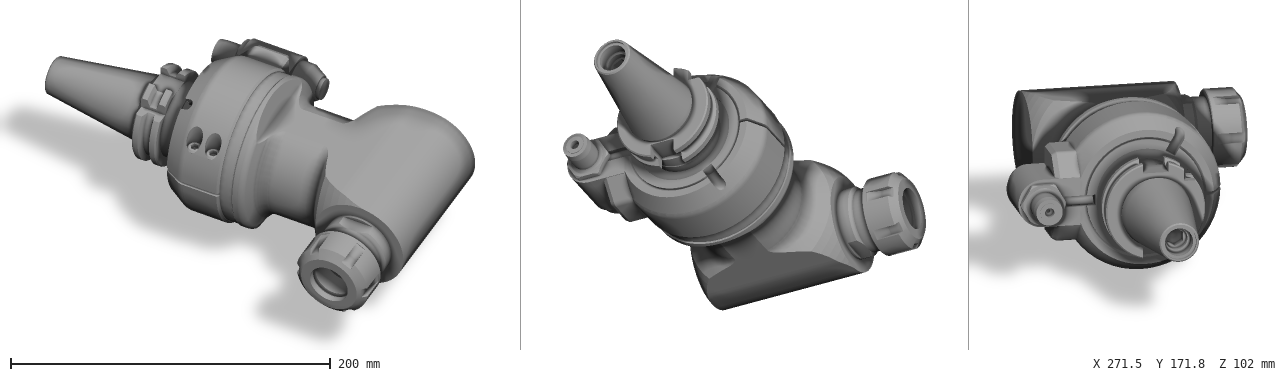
import cadquery as cq
import math


TAPER_LENGTH = 68.0
TAPER_END_RADIUS = 12.5
TAPER_RATIO = 7 / 48
TAPER_END_CHAMFER = 0.8
RELIEF_RADIUS = 21.7
FLANGE_FRONT = 71.0
FLANGE_BACK = 88.0
FLANGE_RADIUS = 31.8
FLANGE_CHAMFER = 0.8
GROOVE_RADIUS = 27.7
GROOVE_FLOOR_WIDTH = 4.3
GROOVE_FLANK = 2.0
NECK_RADIUS = 25.0
NECK_END = 96.0
JOURNAL_RADIUS = 23.5
JOURNAL_END = 111.3
DRIVE_SLOT_WIDTH = 16.3
UPPER_SLOT_FLOOR = 25.0
LOWER_SLOT_FLOOR = 22.3
NOTCH_SIDE = 18.2
NOTCH_FLOOR = 18.5
DRAWBAR_BORE_RADIUS = 9.0
DRAWBAR_BORE_DEPTH = 9.5
BORE_MOUTH_RADIUS = 10.9
BORE_MOUTH_DEPTH = 1.5
BORE_STEP_RADIUS = 7.0
BORE_STEP_DEPTH = 13.5
SOCKET_FLATS = 10.3
SOCKET_DEPTH = 5.5

RING_FRONT = 102.3
RING_BACK = 142.2
RING_RADIUS = 51.0
RING_BORE_RADIUS = 37.5
RING_BORE_CHAMFER = 1.5
RING_BACK_CHAMFER = 1.4
RING_CONE_ANGLE = 30.0
RING_CONE_END = 113.0
RING_CONE_BLEND = 8.7
SLIT_WIDTH = 2.2
RADIAL_SLOT_WIDTH = 7.0
RADIAL_SLOT_DEPTH = 7.5
RADIAL_SLOT_START = 31.8
RADIAL_SLOT_COUNT = 3

ARM_FRONT = 102.0
ARM_BACK = 137.5
ARM_HALF_HEIGHT = 15.5
PIN_Y = 65.7
ARM_ROOT_Y = 41.5
SHOULDER_Y = 57.3
SHOULDER_HALF_HEIGHT = 29.0
SHOULDER_SLOPE = 49.0
SHOULDER_SLOPE_END = 113.0
SHOULDER_BLEND = 4.5
SHOULDER_BEVEL_DEPTH = 3.0
SHOULDER_BEVEL_INSET = 2.0
SHOULDER_BACK_CHAMFER = 1.5

SCREW_X_POSITIONS = (120.2, 133.3)
SCREW_Y = -40.5
SCREW_HEAD_DIAMETER = 10.0
SCREW_HEAD_HEIGHT = 6.0
SCREW_HEAD_CHAMFER = 1.0
SCREW_SEAT_Z = 18.2
SCREW_DIAMETER = 6.0
SCREW_BOTTOM_Z = -19.0
SCREW_SOCKET_FLATS = 5.0
SCREW_SOCKET_DEPTH = 3.0
COUNTERBORE_DIAMETER = 10.3
CLEARANCE_DIAMETER = 6.5

STEM_START = 81.5
STEM_RADIUS = 9.0
STEM_LEAD_RADIUS = 8.5
STEM_LEAD_END = 86.0
STEM_TIP_RADIUS = 6.0
STEM_TIP_START = 81.0
STEM_HOLE_RADIUS = 3.0
STEM_HOLE_DEPTH = 4.0
STEM_BOTTOM_HOLE_RADIUS = 1.25
STEM_BOTTOM_HOLE_DEPTH = 6.8
COLLAR_START = 97.0
COLLAR_RADIUS = 11.0
HEX_START = 98.0
HEX_FLATS = 25.5
HEX_CHAMFER = 1.0
HEX_ROUND_RADIUS = 14.5
CAP_RADIUS = 13.0
CAP_STRAIGHT_END = 145.7
CAP_CONE_END = 154.2
CAP_CONE_END_RADIUS = 8.5
CAP_TIP_RADIUS = 7.0
CAP_END = 156.5
FINGER_INNER_Y = 33.5

NOSE_START = 97.5
HEAD_RADIUS = 49.0
NOSE_RECESS_RADIUS = 31.5
NOSE_RECESS_DEPTH = 1.0
LIP_GROOVE_START = 150.4
LIP_START = 151.5
LIP_GROOVE_RADIUS = 48.5
LIP_RADIUS = 50.0
LIP_ROUND_START = 154.7
LIP_ROUND = 5.0
WAIST_RADIUS = 35.8
WAIST_START = 169.4
WAIST_END = 196.5
FLARE_ANGLE = 62.0
WAIST_BLEND = 8.1
HOUSING_HALF_WIDTH = 49.0
HOUSING_RADIUS = 31.0
HOUSING_FLAT_Z = 34.0
HOUSING_SLOPE = 11.0
HOUSING_SLOPE_BLEND = 32.5
LIP_CUT_ANGLE = 71.0
LIP_CUT_X = 159.5
LIP_CUT_BLEND = 3.8
FACET_COUNT = 6
TOTAL_LENGTH = 271.5
SPINDLE_X = TOTAL_LENGTH - HOUSING_RADIUS

SPINDLE_SEAT_DEPTH = 5.5
SPINDLE_COLLAR_RADIUS = 22.5
SPINDLE_COLLAR_END = -57.0
SPINDLE_BODY_START = -59.2
SPINDLE_BODY_RADIUS = 20.4
SPINDLE_END = -84.0
SPINDLE_FLAT_Z = 20.0
SPINDLE_FLAT_START = -50.8
COLLET_BORE_RADIUS = 12.5
COLLET_BORE_END = -70.5
NUT_START = -67.8
NUT_END = -90.6
NUT_RADIUS = 25.0
NUT_START_CHAMFER = 0.5
NUT_END_RADIUS = 19.5
NUT_CHAMFER_START = -86.0
NUT_BORE_RADIUS = 13.3
NUT_GROOVE_RADIUS = 15.0
NUT_GROOVE_END = -86.3
NUT_SLOT_COUNT = 6
NUT_SLOT_WIDTH = 7.0
NUT_SLOT_FLOOR = 22.0
NUT_SLOT_START = -70.8
NUT_SLOT_RAMP_END = -80.0
NUT_SLOT_RAMP_RADIUS = 24.5


def sine(angle):
    return math.sin(math.radians(angle))


def cosine(angle):
    return math.cos(math.radians(angle))


def tangent(angle):
    return math.tan(math.radians(angle))


def turn_about_x(profile):
    return profile.close().revolve(360, (0, 0, 0), (1, 0, 0))


def turn_about_spindle(points):
    """Solid of revolution about the spindle axis from (radius, Y) points."""
    placed = [(SPINDLE_X + radius, y) for radius, y in points]
    return cq.Workplane("XY").polyline(placed).close().revolve(360, (SPINDLE_X, 0, 0), (SPINDLE_X, 1, 0))


def x_cylinder(radius, start, end, y=0.0):
    return cq.Workplane("YZ", origin=(start, y, 0)).circle(radius).extrude(end - start)


def z_cylinder(diameter, x, y, bottom, top):
    return cq.Workplane("XY", origin=(x, y, bottom)).circle(diameter / 2).extrude(top - bottom)


def block(x_range, y_range, z_range):
    sizes = [high - low for low, high in (x_range, y_range, z_range)]
    corner = (x_range[0], y_range[0], z_range[0])
    return cq.Workplane("XY", origin=corner).box(*sizes, centered=False)


def hexagon_along_x(flats, start, end, y=0.0):
    """Hexagonal bar along X with its corners pointing up and down."""
    corners = flats / cosine(30)
    plane = cq.Workplane("YZ", origin=(start, y, 0)).transformed(rotate=(0, 0, 90))
    return plane.polygon(6, corners).extrude(end - start)


def radial_slot(angle):
    """Round-bottomed slot in the front face, running outward; angle is measured from +Y."""
    half_width = RADIAL_SLOT_WIDTH / 2
    centre_x = RING_FRONT + RADIAL_SLOT_DEPTH - half_width
    length = PIN_Y - RADIAL_SLOT_START
    slot = (
        cq.Workplane("XZ", origin=(0, PIN_Y, 0))
        .moveTo(NOSE_START, -half_width)
        .lineTo(centre_x, -half_width)
        .threePointArc((centre_x + half_width, 0), (centre_x, half_width))
        .lineTo(NOSE_START, half_width)
        .close()
        .extrude(length)
    )
    return slot.rotate((0, 0, 0), (1, 0, 0), angle)


def radial_slots():
    slots = radial_slot(0)
    for index in range(1, RADIAL_SLOT_COUNT):
        slots = slots.union(radial_slot(index * 360 / RADIAL_SLOT_COUNT))
    return slots


def make_shank():
    taper_start_radius = TAPER_END_RADIUS + TAPER_RATIO * TAPER_END_CHAMFER
    taper_large_radius = TAPER_END_RADIUS + TAPER_RATIO * TAPER_LENGTH
    groove_middle = (FLANGE_FRONT + FLANGE_BACK) / 2
    floor_half = GROOVE_FLOOR_WIDTH / 2
    mouth_half = floor_half + GROOVE_FLANK
    shank = turn_about_x(cq.Workplane("XY").polyline([
        (0, 0),
        (0, taper_start_radius - TAPER_END_CHAMFER),
        (TAPER_END_CHAMFER, taper_start_radius),
        (TAPER_LENGTH, taper_large_radius),
        (TAPER_LENGTH, RELIEF_RADIUS),
        (FLANGE_FRONT, RELIEF_RADIUS),
        (FLANGE_FRONT, FLANGE_RADIUS - FLANGE_CHAMFER),
        (FLANGE_FRONT + FLANGE_CHAMFER, FLANGE_RADIUS),
        (groove_middle - mouth_half, FLANGE_RADIUS),
        (groove_middle - floor_half, GROOVE_RADIUS),
        (groove_middle + floor_half, GROOVE_RADIUS),
        (groove_middle + mouth_half, FLANGE_RADIUS),
        (FLANGE_BACK - FLANGE_CHAMFER, FLANGE_RADIUS),
        (FLANGE_BACK, FLANGE_RADIUS - FLANGE_CHAMFER),
        (FLANGE_BACK, NECK_RADIUS),
        (NECK_END, NECK_RADIUS),
        (NECK_END, JOURNAL_RADIUS),
        (JOURNAL_END, JOURNAL_RADIUS),
        (JOURNAL_END, 0),
    ]))
    flange_x = (FLANGE_FRONT, FLANGE_BACK)
    slot_y = (-DRIVE_SLOT_WIDTH / 2, DRIVE_SLOT_WIDTH / 2)
    shank = shank.cut(block(flange_x, slot_y, (UPPER_SLOT_FLOOR, FLANGE_RADIUS)))
    shank = shank.cut(block(flange_x, slot_y, (-FLANGE_RADIUS, -LOWER_SLOT_FLOOR)))
    shank = shank.cut(block(flange_x, (-FLANGE_RADIUS, -NOTCH_SIDE), (NOTCH_FLOOR, FLANGE_RADIUS)))
    return shank.cut(make_drawbar_bore())


def make_drawbar_bore():
    """Stepped bore in the small end, ending in a hexagon socket with a conical floor."""
    socket_end = BORE_STEP_DEPTH + SOCKET_DEPTH
    tip_radius = SOCKET_FLATS / 2
    cone_tip = turn_about_x(cq.Workplane("XY").polyline([
        (socket_end, 0),
        (socket_end, tip_radius),
        (socket_end + tip_radius * tangent(30), 0),
    ]))
    return (
        x_cylinder(BORE_MOUTH_RADIUS, 0, BORE_MOUTH_DEPTH)
        .union(x_cylinder(DRAWBAR_BORE_RADIUS, 0, DRAWBAR_BORE_DEPTH))
        .union(x_cylinder(BORE_STEP_RADIUS, 0, BORE_STEP_DEPTH))
        .union(hexagon_along_x(SOCKET_FLATS, BORE_STEP_DEPTH, socket_end))
        .union(cone_tip)
    )


def make_ring_body():
    cone_end_radius = RING_RADIUS - RING_CONE_BLEND * (1 - cosine(RING_CONE_ANGLE))
    cone_start_radius = cone_end_radius - (RING_CONE_END - RING_FRONT) * tangent(RING_CONE_ANGLE)
    blend_end = RING_CONE_END + RING_CONE_BLEND * sine(RING_CONE_ANGLE)
    return turn_about_x(
        cq.Workplane("XY")
        .moveTo(RING_FRONT, RING_BORE_RADIUS + RING_BORE_CHAMFER)
        .lineTo(RING_FRONT, cone_start_radius)
        .lineTo(RING_CONE_END, cone_end_radius)
        .tangentArcPoint((blend_end, RING_RADIUS), relative=False)
        .lineTo(RING_BACK - RING_BACK_CHAMFER, RING_RADIUS)
        .lineTo(RING_BACK, RING_RADIUS - RING_BACK_CHAMFER)
        .lineTo(RING_BACK, RING_BORE_RADIUS)
        .lineTo(RING_FRONT + RING_BORE_CHAMFER, RING_BORE_RADIUS)
    )


def make_shoulder():
    """Wide root of the arm: a sloped front meets the top and bottom, outer side bevelled."""
    slope_end_z = SHOULDER_HALF_HEIGHT - SHOULDER_BLEND * (1 - cosine(SHOULDER_SLOPE))
    slope_start_z = slope_end_z - (SHOULDER_SLOPE_END - ARM_FRONT) * tangent(SHOULDER_SLOPE)
    blend_end = SHOULDER_SLOPE_END + SHOULDER_BLEND * sine(SHOULDER_SLOPE)
    bevel_angle = math.degrees(math.atan2(SHOULDER_BEVEL_INSET, SHOULDER_BEVEL_DEPTH))
    bevel_start_y = SHOULDER_Y - SHOULDER_BEVEL_DEPTH
    upper_outline = (
        cq.Workplane("XZ", origin=(0, bevel_start_y, 0))
        .moveTo(ARM_FRONT, 0)
        .lineTo(ARM_FRONT, slope_start_z)
        .lineTo(SHOULDER_SLOPE_END, slope_end_z)
        .tangentArcPoint((blend_end, SHOULDER_HALF_HEIGHT), relative=False)
        .lineTo(ARM_BACK - SHOULDER_BACK_CHAMFER, SHOULDER_HALF_HEIGHT)
        .lineTo(ARM_BACK, SHOULDER_HALF_HEIGHT - SHOULDER_BACK_CHAMFER)
        .lineTo(ARM_BACK, 0)
        .close()
    )
    straight_part = upper_outline.extrude(bevel_start_y - ARM_ROOT_Y)
    outer_outline = straight_part.faces(">Y").wires().toPending()
    upper_half = outer_outline.extrude(-SHOULDER_BEVEL_DEPTH, taper=bevel_angle)
    return upper_half.union(upper_half.mirror("XY"))


def make_clamp_ring():
    arm_x = (ARM_FRONT, ARM_BACK)
    beam = block(arm_x, (ARM_ROOT_Y, PIN_Y), (-ARM_HALF_HEIGHT, ARM_HALF_HEIGHT))
    arm = beam.union(x_cylinder(ARM_HALF_HEIGHT, *arm_x, y=PIN_Y)).union(make_shoulder())
    ring = make_ring_body().union(arm)
    slit_z = (-SLIT_WIDTH / 2, SLIT_WIDTH / 2)
    ring = ring.cut(block((RING_FRONT, RING_BACK), (-RING_RADIUS, 0), slit_z))
    ring = ring.cut(x_cylinder(STEM_RADIUS, *arm_x, y=PIN_Y)).cut(radial_slots())
    for x in SCREW_X_POSITIONS:
        ring = ring.cut(z_cylinder(SCREW_DIAMETER, x, SCREW_Y, SCREW_BOTTOM_Z, 0))
        ring = ring.cut(z_cylinder(CLEARANCE_DIAMETER, x, SCREW_Y, 0, SCREW_SEAT_Z))
        ring = ring.cut(z_cylinder(COUNTERBORE_DIAMETER, x, SCREW_Y, SCREW_SEAT_Z, RING_RADIUS))
    return ring


def make_clamp_screw(x):
    head_top = SCREW_SEAT_Z + SCREW_HEAD_HEIGHT
    head = z_cylinder(SCREW_HEAD_DIAMETER, x, SCREW_Y, SCREW_SEAT_Z, head_top)
    head = head.faces(">Z").chamfer(SCREW_HEAD_CHAMFER)
    socket = (
        cq.Workplane("XY", origin=(x, SCREW_Y, head_top - SCREW_SOCKET_DEPTH))
        .polygon(6, SCREW_SOCKET_FLATS / cosine(30))
        .extrude(SCREW_SOCKET_DEPTH)
    )
    thread = z_cylinder(SCREW_DIAMETER, x, SCREW_Y, SCREW_BOTTOM_Z, SCREW_SEAT_Z)
    return head.cut(socket).union(thread)


def make_stop_pin():
    turned = turn_about_x(
        cq.Workplane("XY")
        .polyline([
            (STEM_TIP_START, 0),
            (STEM_TIP_START, STEM_TIP_RADIUS),
            (STEM_START, STEM_TIP_RADIUS),
            (STEM_START, STEM_LEAD_RADIUS),
            (STEM_LEAD_END, STEM_RADIUS),
            (COLLAR_START, STEM_RADIUS),
            (HEX_START, COLLAR_RADIUS),
            (HEX_START, STEM_RADIUS),
            (ARM_BACK, STEM_RADIUS),
            (ARM_BACK, CAP_RADIUS),
            (CAP_STRAIGHT_END, CAP_RADIUS),
            (CAP_CONE_END, CAP_CONE_END_RADIUS),
            (CAP_CONE_END, CAP_TIP_RADIUS),
            (CAP_END, CAP_TIP_RADIUS),
            (CAP_END, 0),
        ])
    ).translate((0, PIN_Y, 0))
    hexagon = hexagon_along_x(HEX_FLATS, HEX_START, ARM_FRONT, PIN_Y)
    hexagon = hexagon.rotate((0, PIN_Y, 0), (1, PIN_Y, 0), 90)
    corner_turning = x_cylinder(HEX_ROUND_RADIUS, HEX_START, ARM_FRONT, PIN_Y)
    hexagon = hexagon.intersect(corner_turning.faces("<X").chamfer(HEX_CHAMFER))
    finger_radius = RADIAL_SLOT_WIDTH / 2
    finger_x = RING_FRONT + RADIAL_SLOT_DEPTH - finger_radius
    finger = (
        cq.Workplane("XZ", origin=(finger_x, PIN_Y, 0))
        .circle(finger_radius)
        .extrude(PIN_Y - FINGER_INNER_Y)
    )
    hole = x_cylinder(STEM_HOLE_RADIUS, STEM_TIP_START, STEM_TIP_START + STEM_HOLE_DEPTH, PIN_Y)
    bottom_hole_end = STEM_TIP_START + STEM_BOTTOM_HOLE_DEPTH
    bottom_hole = x_cylinder(STEM_BOTTOM_HOLE_RADIUS, STEM_TIP_START, bottom_hole_end, PIN_Y)
    return turned.union(hexagon).union(finger).cut(hole).cut(bottom_hole)


def housing_turned_radius(x):
    """Radius about the main axis that passes through the round rim of the housing side face."""
    rim_z_squared = HOUSING_RADIUS**2 - (x - SPINDLE_X) ** 2
    return math.sqrt(HOUSING_HALF_WIDTH**2 + rim_z_squared)


def make_turned_head():
    lip_round_end = LIP_ROUND_START + LIP_ROUND * sine(FLARE_ANGLE)
    lip_round_end_radius = LIP_RADIUS - LIP_ROUND * (1 - cosine(FLARE_ANGLE))
    blend_run = WAIST_BLEND * sine(FLARE_ANGLE)
    blend_end_radius = WAIST_RADIUS + WAIST_BLEND * (1 - cosine(FLARE_ANGLE))
    housing_front = SPINDLE_X - HOUSING_RADIUS
    recess_floor = RING_FRONT + NOSE_RECESS_DEPTH
    facet_length = HOUSING_RADIUS / FACET_COUNT
    profile = (
        cq.Workplane("XY")
        .polyline([
            (NOSE_START, 0),
            (NOSE_START, NECK_RADIUS),
            (recess_floor, NECK_RADIUS),
            (recess_floor, NOSE_RECESS_RADIUS),
            (RING_FRONT, NOSE_RECESS_RADIUS),
            (RING_FRONT, RING_BORE_RADIUS),
            (RING_BACK, RING_BORE_RADIUS),
            (RING_BACK, HEAD_RADIUS),
            (LIP_GROOVE_START, HEAD_RADIUS),
            (LIP_GROOVE_START, LIP_GROOVE_RADIUS),
            (LIP_START, LIP_GROOVE_RADIUS),
            (LIP_START, LIP_RADIUS),
            (LIP_ROUND_START, LIP_RADIUS),
        ])
        .tangentArcPoint((lip_round_end, lip_round_end_radius), relative=False)
        .lineTo(WAIST_START - blend_run, blend_end_radius)
        .threePointArc(
            (
                WAIST_START - WAIST_BLEND * sine(FLARE_ANGLE / 2),
                WAIST_RADIUS + WAIST_BLEND * (1 - cosine(FLARE_ANGLE / 2)),
            ),
            (WAIST_START, WAIST_RADIUS),
        )
        .lineTo(WAIST_END, WAIST_RADIUS)
        .tangentArcPoint((WAIST_END + blend_run, blend_end_radius), relative=False)
    )
    for step in range(FACET_COUNT + 1):
        x = housing_front + step * facet_length
        profile = profile.lineTo(x, housing_turned_radius(x))
    end_radius = housing_turned_radius(SPINDLE_X)
    return turn_about_x(profile.lineTo(TOTAL_LENGTH, end_radius).lineTo(TOTAL_LENGTH, 0))


def make_head_side_outline():
    """Upper half of the XZ outline: lip, cut down to the flats, slope and round end."""
    cut_setback = LIP_CUT_BLEND * tangent(LIP_CUT_ANGLE / 2)
    cut_top = (LIP_CUT_X - (RING_RADIUS - HOUSING_FLAT_Z) / tangent(LIP_CUT_ANGLE), RING_RADIUS)
    cut_end = (
        LIP_CUT_X - cut_setback * cosine(LIP_CUT_ANGLE),
        HOUSING_FLAT_Z + cut_setback * sine(LIP_CUT_ANGLE),
    )
    slope_end = (
        SPINDLE_X + HOUSING_RADIUS * sine(HOUSING_SLOPE),
        HOUSING_RADIUS * cosine(HOUSING_SLOPE),
    )
    slope_setback = HOUSING_SLOPE_BLEND * tangent(HOUSING_SLOPE / 2)
    slope_x = slope_end[0] - (HOUSING_FLAT_Z - slope_end[1]) / tangent(HOUSING_SLOPE)
    slope_start = (
        slope_x + slope_setback * cosine(HOUSING_SLOPE),
        HOUSING_FLAT_Z - slope_setback * sine(HOUSING_SLOPE),
    )
    return (
        cq.Workplane("XZ")
        .moveTo(NOSE_START, 0)
        .lineTo(NOSE_START, RING_RADIUS)
        .lineTo(*cut_top)
        .lineTo(*cut_end)
        .tangentArcPoint((LIP_CUT_X + cut_setback, HOUSING_FLAT_Z), relative=False)
        .lineTo(slope_x - slope_setback, HOUSING_FLAT_Z)
        .tangentArcPoint(slope_start, relative=False)
        .lineTo(*slope_end)
        .tangentArcPoint((TOTAL_LENGTH, 0), relative=False)
        .close()
    )


def make_head():
    upper_half = make_head_side_outline().extrude(RING_RADIUS, both=True)
    outline = upper_half.union(upper_half.mirror("XY"))
    lip_width = block((NOSE_START, WAIST_START), (-RING_RADIUS, RING_RADIUS), (-RING_RADIUS, RING_RADIUS))
    housing_width = block(
        (WAIST_START, TOTAL_LENGTH),
        (-HOUSING_HALF_WIDTH, HOUSING_HALF_WIDTH),
        (-RING_RADIUS, RING_RADIUS),
    )
    head = make_turned_head().intersect(outline).intersect(lip_width.union(housing_width))
    shank_seat = x_cylinder(JOURNAL_RADIUS, NOSE_START, JOURNAL_END)
    seat_bottom = SPINDLE_SEAT_DEPTH - HOUSING_HALF_WIDTH
    spindle_seat = turn_about_spindle([
        (0, seat_bottom),
        (SPINDLE_COLLAR_RADIUS, seat_bottom),
        (SPINDLE_COLLAR_RADIUS, -HOUSING_HALF_WIDTH),
        (0, -HOUSING_HALF_WIDTH),
    ])
    return head.cut(shank_seat).cut(spindle_seat).cut(radial_slots())


def make_spindle():
    spindle = turn_about_spindle([
        (0, SPINDLE_SEAT_DEPTH - HOUSING_HALF_WIDTH),
        (SPINDLE_COLLAR_RADIUS, SPINDLE_SEAT_DEPTH - HOUSING_HALF_WIDTH),
        (SPINDLE_COLLAR_RADIUS, SPINDLE_COLLAR_END),
        (SPINDLE_BODY_RADIUS, SPINDLE_BODY_START),
        (SPINDLE_BODY_RADIUS, SPINDLE_END),
        (COLLET_BORE_RADIUS, SPINDLE_END),
        (COLLET_BORE_RADIUS, COLLET_BORE_END),
        (0, COLLET_BORE_END),
    ])
    flat_x = (SPINDLE_X - SPINDLE_COLLAR_RADIUS, SPINDLE_X + SPINDLE_COLLAR_RADIUS)
    flat_y = (SPINDLE_BODY_START, SPINDLE_FLAT_START)
    flat = block(flat_x, flat_y, (SPINDLE_FLAT_Z, SPINDLE_COLLAR_RADIUS))
    return spindle.cut(flat).cut(flat.mirror("XY"))


def make_nut_slot(angle):
    outside = NUT_RADIUS + 2.7
    points = [
        (NUT_SLOT_FLOOR, NUT_END),
        (NUT_SLOT_FLOOR, NUT_SLOT_RAMP_END),
        (NUT_SLOT_RAMP_RADIUS, NUT_SLOT_START),
        (outside, NUT_SLOT_START),
        (outside, NUT_END),
    ]
    placed = [(SPINDLE_X + radius, y) for radius, y in points]
    slot = cq.Workplane("XY").polyline(placed).close().extrude(NUT_SLOT_WIDTH / 2, both=True)
    return slot.rotate((SPINDLE_X, 0, 0), (SPINDLE_X, 1, 0), angle)


def make_nut():
    nut = turn_about_spindle([
        (SPINDLE_BODY_RADIUS, NUT_START),
        (NUT_RADIUS - NUT_START_CHAMFER, NUT_START),
        (NUT_RADIUS, NUT_START - NUT_START_CHAMFER),
        (NUT_RADIUS, NUT_CHAMFER_START),
        (NUT_END_RADIUS, NUT_END),
        (NUT_BORE_RADIUS, NUT_END),
        (NUT_BORE_RADIUS, NUT_GROOVE_END),
        (NUT_GROOVE_RADIUS, NUT_GROOVE_END),
        (NUT_GROOVE_RADIUS, SPINDLE_END),
        (SPINDLE_BODY_RADIUS, SPINDLE_END),
    ])
    for index in range(NUT_SLOT_COUNT):
        nut = nut.cut(make_nut_slot(index * 360 / NUT_SLOT_COUNT))
    return nut


shank = make_shank()
clamp_ring = make_clamp_ring()
clamp_screws = [make_clamp_screw(x) for x in SCREW_X_POSITIONS]
stop_pin = make_stop_pin()
head = make_head()
spindle = make_spindle()
nut = make_nut()

result = cq.Compound.makeCompound([
    shank.val(),
    clamp_ring.val(),
    *[screw.val() for screw in clamp_screws],
    stop_pin.val(),
    head.val(),
    spindle.val(),
    nut.val(),
])